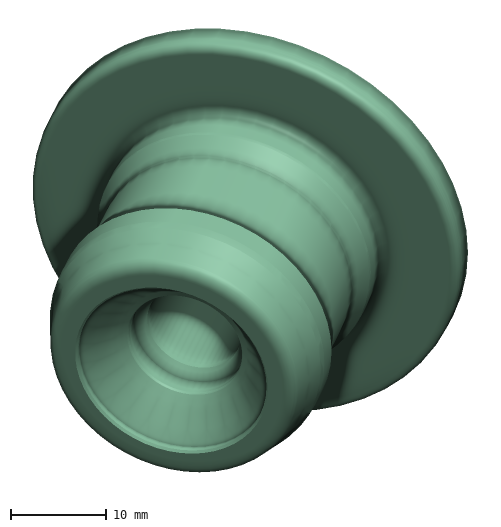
import cadquery as cq
import math

overall_length = 33.8

flange_radius = 23.5
flange_front = 25.7
flange_back = 29.0
flange_taper_start = 27.02
flange_taper_drop = 0.15
flange_edge_fillet = 1.0

collar_radius = 15.0
waist_radius = 13.75
nose_radius = 13.25
nose_taper_end = 5.25
nose_fillet = 1.5
taper_blend = 3.0
nose_collar_end = 8.22
waist_start = 10.0
waist_end = 19.4
rear_collar_start = 22.0
waist_blend = 0.8
flange_root_fillet = 1.0

spigot_radius = 12.5
spigot_edge_fillet = 0.8
spigot_root_round = 0.7

lip_radius = 10.35
lip_chamfer = 0.25
lip_end = 0.9
throat_radius = 6.2
throat_start = 4.8
throat_end = 6.85
throat_edge_fillet = 0.38
hole_radius = 5.1

TOLERANCE = 0.005


def at_ring(solid, radius, position):
    """Circular edge of the given radius at the given axial position."""
    box = cq.selectors.BoxSelector(
        (-radius - TOLERANCE, position - TOLERANCE, -radius - TOLERANCE),
        (radius + TOLERANCE, position + TOLERANCE, radius + TOLERANCE),
        boundingbox=True,
    )
    return solid.edges(box).edges(cq.selectors.RadiusNthSelector(-1))


flank_rise = collar_radius - waist_radius
flank_run = waist_start - nose_collar_end
flank_arc = (flank_rise**2 + flank_run**2) / (2 * flank_rise)
flank_angle = math.asin(flank_run / flank_arc) / 2
flank_middle = (
    waist_radius + flank_arc * (1 - math.cos(flank_angle)),
    waist_start - flank_arc * math.sin(flank_angle),
)

flange_front_radius = flange_radius - flange_taper_drop

body = (
    cq.Workplane("XY")
    .moveTo(0, 0)
    .lineTo(nose_radius, 0)
    .lineTo(collar_radius, nose_taper_end)
    .lineTo(collar_radius, nose_collar_end)
    .threePointArc(flank_middle, (waist_radius, waist_start))
    .lineTo(waist_radius, waist_end)
    .lineTo(collar_radius, rear_collar_start)
    .lineTo(collar_radius, flange_front)
    .lineTo(flange_front_radius, flange_front)
    .lineTo(flange_radius, flange_taper_start)
    .lineTo(flange_radius, flange_back)
    .lineTo(spigot_radius - spigot_root_round, flange_back)
    .radiusArc((spigot_radius, flange_back + spigot_root_round), -spigot_root_round)
    .lineTo(spigot_radius, overall_length)
    .lineTo(0, overall_length)
    .close()
    .revolve(360, (0, 0, 0), (0, 1, 0))
)

rounded_rings = [
    (nose_radius, 0, nose_fillet),
    (collar_radius, nose_taper_end, taper_blend),
    (waist_radius, waist_end, waist_blend),
    (collar_radius, rear_collar_start, waist_blend),
    (collar_radius, flange_front, flange_root_fillet),
    (flange_front_radius, flange_front, flange_edge_fillet),
    (spigot_radius, overall_length, spigot_edge_fillet),
]
for ring_radius, ring_position, fillet_radius in rounded_rings:
    body = at_ring(body, ring_radius, ring_position).fillet(fillet_radius)

hole_chamfer = throat_radius - hole_radius
bore = (
    cq.Workplane("XY")
    .moveTo(0, 0)
    .lineTo(lip_radius + lip_chamfer, 0)
    .lineTo(lip_radius, lip_chamfer)
    .lineTo(lip_radius, lip_end)
    .lineTo(throat_radius, throat_start)
    .lineTo(throat_radius, throat_end)
    .lineTo(hole_radius, throat_end + hole_chamfer)
    .lineTo(hole_radius, overall_length)
    .lineTo(0, overall_length)
    .close()
    .revolve(360, (0, 0, 0), (0, 1, 0))
)
bore = at_ring(bore, throat_radius, throat_start).fillet(throat_edge_fillet)

result = body.cut(bore)